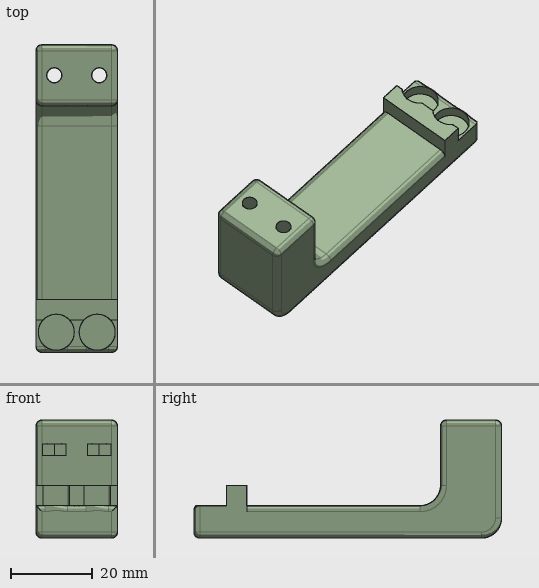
import cadquery as cq
import math

width = 20.0
length = 75.5
height = 29.0
arm_thickness = 8.0
post_depth = 15.0
bend_radius = 5.0
edge_radius = 1.5

rib_front = 8.0
rib_depth = 5.0
rib_height = 5.0

pocket_diameter = 8.8
pocket_spacing = 10.05
pocket_center_y = 5.0
pocket_depth = 3.0

bolt_diameter = 3.6
bolt_spacing = 11.0
nut_flats = 5.75
nut_slot_height = 2.8
nut_slot_top_drop = 5.9

rib_back = rib_front + rib_depth
post_front = length - post_depth
bolt_y = length - post_depth / 2


def make_bracket():
    """L-shaped body with its rib and rounded bends."""
    outline = [
        (0, 0),
        (length, 0),
        (length, height),
        (post_front, height),
        (post_front, arm_thickness),
        (rib_back, arm_thickness),
        (rib_back, arm_thickness + rib_height),
        (rib_front, arm_thickness + rib_height),
        (rib_front, arm_thickness),
        (0, arm_thickness),
    ]
    body = cq.Workplane("YZ").polyline(outline).close().extrude(width / 2, both=True)
    inner_bend = cq.selectors.NearestToPointSelector((0, post_front, arm_thickness))
    outer_bend = cq.selectors.NearestToPointSelector((0, length, 0))
    body = body.edges(inner_bend).fillet(bend_radius)
    body = body.edges(outer_bend).fillet(bend_radius)
    return body


def round_edges(body):
    """Round the outer edges, leaving the rib and the arm's upper side edges in front of it sharp."""
    sharp_zone = cq.selectors.BoxSelector(
        (-width, edge_radius, arm_thickness - edge_radius),
        (width, rib_back + edge_radius, arm_thickness + 2 * rib_height),
    )
    side_and_front = body.faces("<X or >X or <Y").edges(cq.selectors.InverseSelector(sharp_zone))
    return side_and_front.add(body.faces(">Z").edges()).fillet(edge_radius)


def make_pockets():
    """Cylinders that sink into the arm and also scallop the rib."""
    half = pocket_spacing / 2
    return (
        cq.Workplane("XY", origin=(0, pocket_center_y, arm_thickness - pocket_depth))
        .pushPoints([(-half, 0), (half, 0)])
        .circle(pocket_diameter / 2)
        .extrude(pocket_depth + rib_height)
    )


def make_bolt_hole(x):
    return cq.Workplane("XY", origin=(x, bolt_y, 0)).circle(bolt_diameter / 2).extrude(height)


def make_nut_slot(x):
    """Slot open at the post's front face, ending in half a hexagon around the bolt."""
    half = nut_flats / 2
    corner = nut_flats / math.sqrt(3)
    entry = post_front - bolt_y
    return (
        cq.Workplane("XY", origin=(x, bolt_y, height - nut_slot_top_drop - nut_slot_height))
        .polyline([(-half, entry), (half, entry), (half, corner / 2), (0, corner), (-half, corner / 2)])
        .close()
        .extrude(nut_slot_height)
    )


result = round_edges(make_bracket().cut(make_pockets()))
for bolt_x in (-bolt_spacing / 2, bolt_spacing / 2):
    result = result.cut(make_bolt_hole(bolt_x)).cut(make_nut_slot(bolt_x))